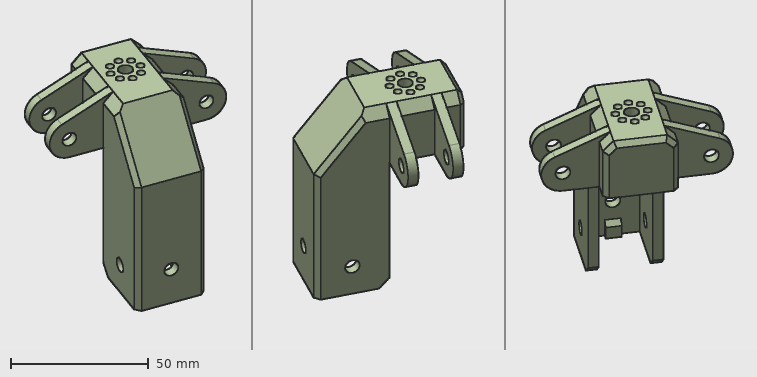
import cadquery as cq
import math

LENGTH = 57.5
HEIGHT = 79
WIDTH = 28.0
WALL = 4.0
TOP_CHAMFER = WALL
EDGE_CHAMFER = WALL / 2
HEAD_DEPTH = 23.9
LEG_START = 29.15
SLOPE_RUN = 20.0

HOLE_DIAMETER = 5.5
SIDE_HOLE_DEPTH = 66.9
BACK_HOLE_DEPTH = 64

EAR_STARTS = (7.9, LEG_START - WALL)
EAR_SPAN = 71.0
EAR_RADIUS = 8.0

DIMPLE_COUNT = 8
DIMPLE_DIAMETER = 3.0
DIMPLE_RING_RADIUS = 6.0

RIB_WIDTH = 6.0
RIB_HEIGHT = WALL / 2
RIB_GAP = 16.0

LEG_CENTER = (LEG_START + LENGTH) / 2
HEAD_CENTER = (EAR_STARTS[0] + LEG_START) / 2
INNER_WIDTH = WIDTH - 2 * WALL
BACK_FACE = LENGTH - WALL
THROUGH = 2 * HEIGHT


def extrude_across_y(points, width):
    """Extrude an XZ outline symmetrically about the mirror plane."""
    return cq.Workplane("XZ").polyline(points).close().extrude(width / 2, both=True)


def make_body():
    """Solid L-shaped body with bevelled outer edges."""
    side_outline = [
        (0, 0),
        (LENGTH - SLOPE_RUN, 0),
        (LENGTH, -HEAD_DEPTH),
        (LENGTH, -HEIGHT),
        (LEG_START + WALL, -HEIGHT),
        (LEG_START, -HEIGHT + WALL),
        (LEG_START, -HEAD_DEPTH),
        (0, -HEAD_DEPTH),
    ]
    half = WIDTH / 2
    end_outline = [
        (-half, -HEIGHT),
        (half, -HEIGHT),
        (half, -TOP_CHAMFER),
        (half - TOP_CHAMFER, 0),
        (TOP_CHAMFER - half, 0),
        (-half, -TOP_CHAMFER),
    ]
    body = extrude_across_y(side_outline, WIDTH)
    body = body.intersect(cq.Workplane("YZ").polyline(end_outline).close().extrude(LENGTH))

    body = body.faces("<X").edges("not(<Z)").chamfer(EDGE_CHAMFER)

    shoulder_and_back = cq.selectors.BoxSelector(
        (LENGTH - SLOPE_RUN, -WIDTH, -HEIGHT + WALL),
        (LENGTH + WALL, WIDTH, -TOP_CHAMFER),
    )
    return body.edges(shoulder_and_back).edges(">Y or <Y").chamfer(EDGE_CHAMFER)


def make_cavity():
    """Channel between the leg walls, with 45 degree slopes under its roof."""
    roof_outline = [
        (LEG_START, -HEAD_DEPTH),
        (BACK_FACE - WALL, -HEAD_DEPTH),
        (BACK_FACE, -HEAD_DEPTH - WALL),
        (BACK_FACE, -HEIGHT),
        (LEG_START, -HEIGHT),
    ]
    cavity = extrude_across_y(roof_outline, INNER_WIDTH)

    half = INNER_WIDTH / 2
    for side in (-1, 1):
        slope = (
            cq.Workplane("YZ", origin=(LEG_START + WALL, 0, -HEAD_DEPTH))
            .polyline([(side * half, 0), (side * (half - WALL), 0), (side * half, -WALL)])
            .close()
            .extrude(LENGTH - LEG_START - WALL)
        )
        cavity = cavity.cut(slope)
    return cavity


def make_ribs():
    """Two ribs on the back wall with 45 degree ends, ranged above and below the back hole."""
    crest = BACK_FACE - RIB_HEIGHT
    upper_end = -BACK_HOLE_DEPTH + RIB_GAP / 2
    lower_end = -BACK_HOLE_DEPTH - RIB_GAP / 2
    upper = [
        (LENGTH - EDGE_CHAMFER, -HEAD_DEPTH - WALL),
        (BACK_FACE, -HEAD_DEPTH - WALL),
        (crest, -HEAD_DEPTH - WALL + RIB_HEIGHT),
        (crest, upper_end + RIB_HEIGHT),
        (BACK_FACE, upper_end),
        (LENGTH - EDGE_CHAMFER, upper_end),
    ]
    lower = [
        (LENGTH - EDGE_CHAMFER, lower_end),
        (BACK_FACE, lower_end),
        (crest, lower_end - RIB_HEIGHT),
        (crest, -HEIGHT),
        (LENGTH - EDGE_CHAMFER, -HEIGHT),
    ]
    return extrude_across_y(upper, RIB_WIDTH).union(extrude_across_y(lower, RIB_WIDTH))


def make_ears(start):
    """A plate with a rounded, drilled ear on each side of the head."""
    center_y = EAR_SPAN / 2 - EAR_RADIUS
    center_z = EAR_RADIUS - HEAD_DEPTH
    top_y = WIDTH / 2 - TOP_CHAMFER

    run = center_y - top_y
    slope = math.atan2(-center_z, run) - math.asin(EAR_RADIUS / math.hypot(run, center_z))
    mid_angle = -slope / 2

    def on_round(angle):
        return (
            center_y + EAR_RADIUS * math.cos(angle),
            center_z + EAR_RADIUS * math.sin(angle),
        )

    half_plate = (
        cq.Workplane("YZ", origin=(start, 0, 0))
        .moveTo(0, 0)
        .lineTo(top_y, 0)
        .lineTo(*on_round(math.pi / 2 - slope))
        .threePointArc(on_round(mid_angle), (center_y, -HEAD_DEPTH))
        .lineTo(0, -HEAD_DEPTH)
        .close()
        .moveTo(center_y, center_z)
        .circle(HOLE_DIAMETER / 2)
        .extrude(WALL)
    )
    return half_plate.union(half_plate.mirror("XZ"))


def make_hole(plane, center):
    """Round cutter centred on the given point, along the plane's normal."""
    return cq.Workplane(plane, origin=center).circle(HOLE_DIAMETER / 2).extrude(THROUGH, both=True)


def make_dimple(index):
    """Spherical cutter for one dimple of the ring around the vertical hole."""
    angle = 2 * math.pi * index / DIMPLE_COUNT
    center = (
        HEAD_CENTER + DIMPLE_RING_RADIUS * math.cos(angle),
        DIMPLE_RING_RADIUS * math.sin(angle),
        0,
    )
    return cq.Workplane("XY", origin=center).sphere(DIMPLE_DIAMETER / 2)


result = make_body().cut(make_cavity()).union(make_ribs())
for ear_start in EAR_STARTS:
    result = result.union(make_ears(ear_start))
result = result.cut(make_hole("XY", (HEAD_CENTER, 0, 0)))
result = result.cut(make_hole("XZ", (LEG_CENTER, 0, -SIDE_HOLE_DEPTH)))
result = result.cut(make_hole("YZ", (LENGTH, 0, -BACK_HOLE_DEPTH)))
for dimple_index in range(DIMPLE_COUNT):
    result = result.cut(make_dimple(dimple_index))